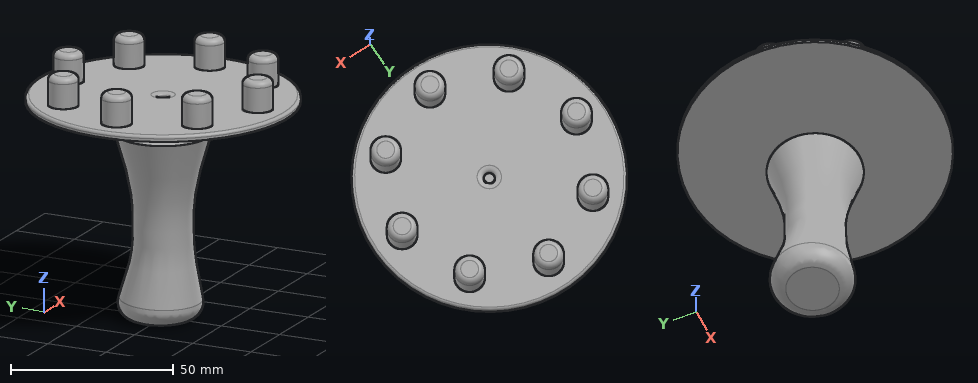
import cadquery as cq

plate_diameter = 85.0
plate_thickness = 2.0
plate_edge_radius = 1.0

peg_count = 8
peg_diameter = 9.5
peg_height = 10.0
peg_edge_radius = 2.0
peg_circle_radius = 32.5

hole_diameter = 3.5
hole_mouth_diameter = 7.5
hole_flare_depth = 1.0

handle_gap = 10.0
handle_length = 60.0
handle_end_radius = 15.0
handle_neck_radius = 9.5
handle_shoulder_radius = 10.0
handle_shoulder_spacing = 10.0
handle_butt_shift = 1.5
handle_butt_fillet = 5.0

handle_top = -handle_gap
handle_neck_depth = handle_length / 2


def make_hole():
    """Straight hole whose mouth flares along a quarter ellipse to the plate's top face."""
    hole_radius = hole_diameter / 2
    flare_width = hole_mouth_diameter / 2 - hole_radius
    return (
        cq.Workplane("XZ")
        .lineTo(hole_radius, 0)
        .lineTo(hole_radius, plate_thickness - hole_flare_depth)
        .ellipseArc(flare_width, hole_flare_depth, 90, 180, sense=-1)
        .lineTo(0, plate_thickness)
        .close()
        .revolve(360, (0, 0), (0, 1))
    )


def make_pegs():
    """Ring of round-topped pegs on the plate's top face."""
    return (
        cq.Workplane("XY", origin=(0, 0, plate_thickness))
        .polarArray(peg_circle_radius, 0, 360, peg_count)
        .circle(peg_diameter / 2)
        .extrude(peg_height)
        .faces(">Z")
        .edges()
        .fillet(peg_edge_radius)
    )


def make_peg_plate():
    """Round plate with its pegs and central screw hole, as one solid."""
    disc = cq.Workplane("XY").circle(plate_diameter / 2).extrude(plate_thickness)
    disc = disc.faces(">Z").edges().fillet(plate_edge_radius)
    return disc.union(make_pegs()).cut(make_hole())


def make_handle():
    """Waisted handle lofted through circles, its lower end shifted toward +Y and rounded."""
    sections = [
        (0, handle_end_radius, 0),
        (handle_neck_depth - handle_shoulder_spacing, handle_shoulder_radius, 0),
        (handle_neck_depth, handle_neck_radius, 0),
        (handle_neck_depth + handle_shoulder_spacing, handle_shoulder_radius, 0),
        (handle_length, handle_end_radius, handle_butt_shift),
    ]
    up = cq.Vector(0, 0, 1)
    rings = [
        cq.Wire.makeCircle(radius, cq.Vector(0, shift, handle_top - depth), up)
        for depth, radius, shift in sections
    ]
    body = cq.occ_impl.shapes.loft(rings, cap=True, parametrization="uniform")
    handle = cq.Workplane(body.Solids()[0])
    return handle.faces("<Z").edges().fillet(handle_butt_fillet)


peg_plate = make_peg_plate()
handle = make_handle()

result = cq.Compound.makeCompound([peg_plate.solids().val(), handle.solids().val()])